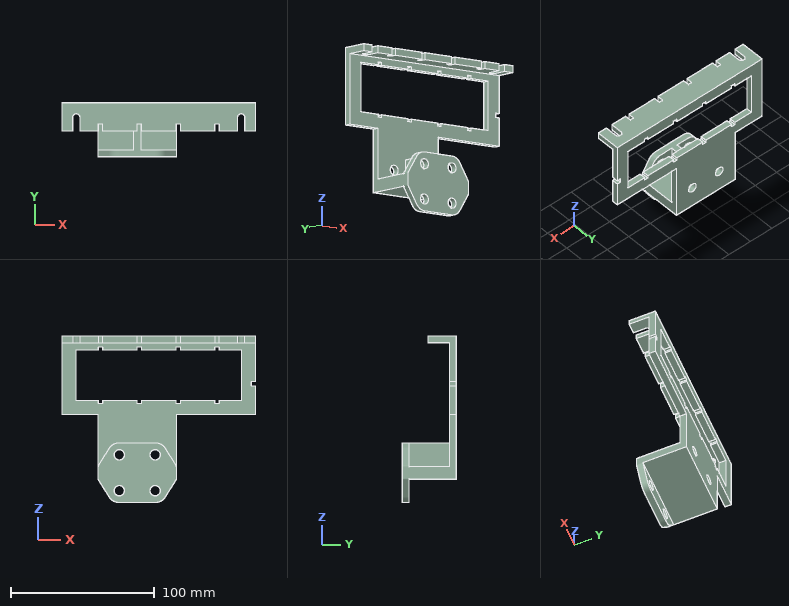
import cadquery as cq
import math

wall = 5.0
frame_width = 135
frame_height = 55.0
frame_border = 10.0
window_height = frame_height - 2 * frame_border
flange_depth = 20.0

notch_pitch = 27
notch_width = 3.0
flange_notch_depth = 5.0
window_notch_depth = 2.0
side_notch_depth = 3.0
side_notch_z = -33.3

slot_width = 5.0
slot_length = 12.0
slot_inset = 10.1

total_depth = 38.0
total_height = 116.2
neck_width = 54.8
neck_x = 52.5
hole_diameter = 7.0
hole_spacing = 25.0
corner_radius = 8.4
side_corner_radius = 1.8
shelf_thickness = 9.0
plate_back_y = wall - total_depth
head_z = -total_height + hole_spacing / 2 + corner_radius
head_top = head_z + hole_spacing / 2 + corner_radius
shelf_top = head_z + shelf_thickness / 2
shelf_bottom = head_z - shelf_thickness / 2


def block(x_range, y_range, z_range):
    """Box spanning the given (low, high) ranges."""
    lows, highs = zip(x_range, y_range, z_range)
    size = [high - low for low, high in zip(lows, highs)]
    return cq.Workplane("XY").box(*size, centered=False).translate(lows)


def span(center, width):
    """Low and high limits of a width centred on a point."""
    return (center - width / 2, center + width / 2)


def make_frame():
    """Upright frame with a rectangular window and a flange along its top."""
    upright = block((0, frame_width), (-wall, 0), (-frame_height, 0))
    flange = block((0, frame_width), (-flange_depth, 0), (-wall, 0))
    window = block(
        (frame_border, frame_width - frame_border),
        (-wall, 0),
        (-frame_border - window_height, -frame_border),
    )
    return upright.cut(window).union(flange)


def cut_notches(body):
    """Cut the flange and window notches, and the single notch in the right edge."""
    window_notch_z = (
        -frame_border - window_height - window_notch_depth,
        -frame_border + window_notch_depth,
    )
    notch_count = round(frame_width / notch_pitch) - 1
    for index in range(1, notch_count + 1):
        notch_x = span(index * notch_pitch, notch_width)
        body = body.cut(block(notch_x, (-flange_depth, flange_notch_depth - flange_depth), (-wall, 0)))
        body = body.cut(block(notch_x, (-wall, 0), window_notch_z))
    side_notch = block(
        (frame_width - side_notch_depth, frame_width),
        (-wall, 0),
        span(side_notch_z, notch_width),
    )
    return body.cut(side_notch)


def cut_slots(body):
    """Cut the two round-ended slots that open through the flange's front edge."""
    end_y = -flange_depth + slot_length - slot_width / 2
    for slot_x in (slot_inset, frame_width - slot_inset):
        channel = block(span(slot_x, slot_width), (-flange_depth, end_y), (-wall, 0))
        round_end = cq.Workplane("XY").center(slot_x, end_y).circle(slot_width / 2).extrude(-wall)
        body = body.cut(channel.union(round_end))
    return body


def make_front_plate():
    """Plate as high at its sides as the shelf, with corners rounded about the hole centres."""
    half_spacing = hole_spacing / 2
    side_x = neck_width / 2
    side_z = shelf_thickness / 2

    run = side_x - half_spacing
    drop = side_z - half_spacing
    tangent_angle = math.atan2(drop, run) + math.acos(corner_radius / math.hypot(run, drop))
    middle_angle = (tangent_angle + math.pi / 2) / 2

    def on_round(angle, x_sign, z_sign):
        x = half_spacing + corner_radius * math.cos(angle)
        z = half_spacing + corner_radius * math.sin(angle)
        return (x_sign * x, z_sign * z)

    outline = cq.Workplane("XZ", origin=(neck_x, plate_back_y, head_z)).moveTo(side_x, -side_z)
    outline = outline.lineTo(side_x, side_z).lineTo(*on_round(tangent_angle, 1, 1))
    outline = outline.threePointArc(on_round(middle_angle, 1, 1), on_round(math.pi / 2, 1, 1))
    outline = outline.lineTo(*on_round(math.pi / 2, -1, 1))
    outline = outline.threePointArc(on_round(middle_angle, -1, 1), on_round(tangent_angle, -1, 1))
    outline = outline.lineTo(-side_x, side_z).lineTo(-side_x, -side_z)
    outline = outline.lineTo(*on_round(tangent_angle, -1, -1))
    outline = outline.threePointArc(on_round(middle_angle, -1, -1), on_round(math.pi / 2, -1, -1))
    outline = outline.lineTo(*on_round(math.pi / 2, 1, -1))
    outline = outline.threePointArc(on_round(middle_angle, 1, -1), on_round(tangent_angle, 1, -1))
    plate = outline.close().extrude(wall)
    return plate.edges("|Y").edges("<X or >X").fillet(side_corner_radius)


def make_head():
    """Neck, shelf and rib carrying the front plate."""
    neck_span = span(neck_x, neck_width)
    neck = block(neck_span, (-wall, 0), (shelf_bottom, -frame_height))
    shelf = block(neck_span, (plate_back_y, 0), (shelf_bottom, shelf_top))
    rib = block(span(neck_x, wall), (plate_back_y, 0), (shelf_bottom, head_top))
    return neck.union(shelf).union(rib).union(make_front_plate())


def cut_mounting_holes(body):
    """Drill the square hole pattern from the front plate through the neck."""
    drills = (
        cq.Workplane("XZ", origin=(neck_x, 0, head_z))
        .rarray(hole_spacing, hole_spacing, 2, 2)
        .circle(hole_diameter / 2)
        .extrude(total_depth)
    )
    return body.cut(drills)


frame = cut_slots(cut_notches(make_frame()))
result = cut_mounting_holes(frame.union(make_head()))